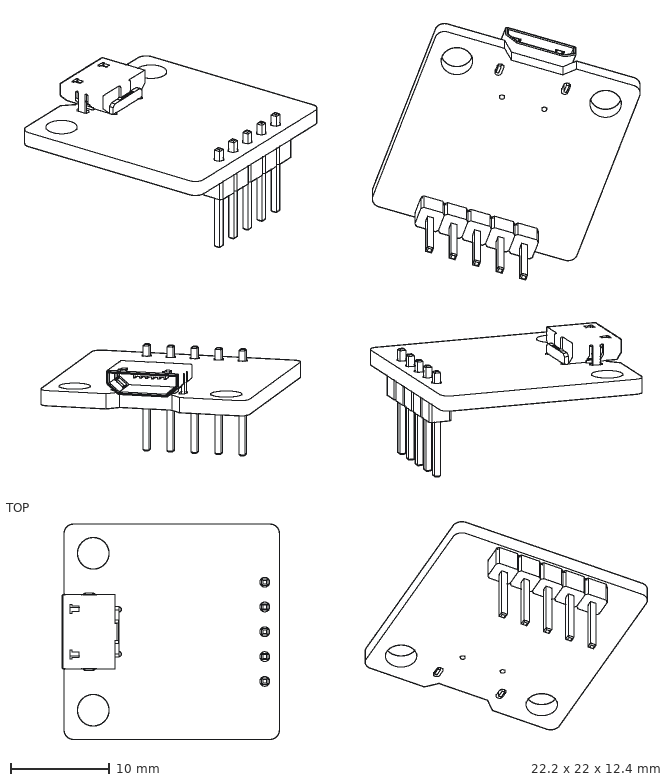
import cadquery as cq

BOARD_SIDE = 22.0
BOARD_THICKNESS = 1.6
BOARD_CORNER_RADIUS = 1.0
BOARD_EDGE = -BOARD_SIDE / 2
MOUNT_HOLE_DIAMETER = 3.2
MOUNT_HOLE_INSET = 3.0
MOUNT_HOLE_SPACING = 16.0
NOTCH_WIDTH = 7.75
NOTCH_DEPTH = 1.1

PIN_COUNT = 5
PIN_PITCH = 2.53
PIN_X = BOARD_SIDE / 2 - 1.5
PIN_HOLE_DIAMETER = 1.0
PIN_WIDTH = 0.65
PIN_TOP = 1.18
PIN_BOTTOM = -9.9
PIN_TIP_CHAMFER = 0.13
HOUSING_DEPTH = 2.4
HOUSING_HEIGHT = 2.26
HOUSING_CHAMFER = 0.25
STANDOFF_HEIGHT = 0.15
STANDOFF_GAP = 2.0

MOUTH_X = BOARD_EDGE - 0.2
SHELL_LENGTH = 5.4
SHELL_REAR_X = MOUTH_X + SHELL_LENGTH
SHELL_HEIGHT = 2.46
SHELL_HALF_WIDTH = 3.8
SHELL_FLOOR_HALF_WIDTH = 2.58
SHELL_SIDE_BOTTOM = 1.05
SHEET = 0.29
SHELL_TOP_RADIUS = 0.145
SHELL_BEND_RADIUS = 0.29
MOUTH_CHAMFER = 0.1

LEG_X = BOARD_EDGE + 2.58
LEG_WIDTH = 0.82
LEG_SLIT_WIDTH = 0.35
WINDOW_LENGTH = LEG_WIDTH + 2 * LEG_SLIT_WIDTH
WINDOW_TOP = 2.1
FLOOR_TAB_HALF_WIDTH = 2.89
LEG_SLOT_WIDTH = 0.7
LEG_SLOT_LENGTH = 1.38
LEG_SLOT_Y = 3.57

TEE_X = MOUTH_X + 0.85
TEE_Y = 2.33
TEE_HEAD_LENGTH = 0.2
TEE_HEAD_WIDTH = 0.9
TEE_LENGTH = 0.9
TEE_STEM_WIDTH = 0.55

FLAP_THICKNESS = 0.2
FLAP_WIDTH = 1.73
FLAP_BEND_RADIUS = 0.15

INSULATOR_WALL_X = MOUTH_X + 4.0
TAIL_LENGTH = 0.45
TAIL_HALF_WIDTH = 2.6
TAIL_HEIGHT = 1.09
TAIL_CHAMFER_HEIGHT = 0.29
TAIL_CHAMFER_WIDTH = 0.35
TAIL_PAD_LENGTH = 0.38
TAIL_PAD_HEIGHT = 0.1
TAIL_PAD_TOP_WIDTH = 1.78
TAIL_PAD_BASE_WIDTH = 2.4
TONGUE_FRONT_X = MOUTH_X + 2.78
TONGUE_WIDTH = 3.4
TONGUE_BOTTOM = 1.27
TONGUE_TOP = 1.95
CONTACT_COUNT = 5
CONTACT_PITCH = 0.65
CONTACT_GROOVE_WIDTH = 0.47
CONTACT_GROOVE_DEPTH = 0.18

PEG_HOLE_DIAMETER = 0.5
PEG_HOLE_X = BOARD_EDGE + 5.6
PEG_HOLE_SPACING = 4.55


def block(x_min, x_max, y_min, y_max, z_min, z_max):
    """Box given by its limits along each axis."""
    size = (x_max - x_min, y_max - y_min, z_max - z_min)
    return cq.Workplane("XY").box(*size, centered=False).translate((x_min, y_min, z_min))


def centred_block(x_min, x_max, width, z_min, z_max):
    """Box that is symmetric about Y = 0."""
    return block(x_min, x_max, -width / 2, width / 2, z_min, z_max)


def row_positions(count, pitch):
    """Evenly spaced positions centred on zero."""
    return [(i - (count - 1) / 2) * pitch for i in range(count)]


def through_board(sketch):
    """Prism of a sketch drawn on the board top, reaching the board underside."""
    return sketch.extrude(-BOARD_THICKNESS)


def make_board():
    board = through_board(cq.Workplane("XY").rect(BOARD_SIDE, BOARD_SIDE))
    board = board.edges("|Z").fillet(BOARD_CORNER_RADIUS)

    outer = NOTCH_WIDTH / 2
    inner = outer - NOTCH_DEPTH
    notch = cq.Workplane("XY").polyline([
        (BOARD_EDGE, -outer),
        (BOARD_EDGE + NOTCH_DEPTH, -inner),
        (BOARD_EDGE + NOTCH_DEPTH, inner),
        (BOARD_EDGE, outer),
    ]).close()
    board = board.cut(through_board(notch))

    mount_x = BOARD_EDGE + MOUNT_HOLE_INSET
    mounts = [(mount_x, y) for y in row_positions(2, MOUNT_HOLE_SPACING)]
    pegs = [(PEG_HOLE_X, y) for y in row_positions(2, PEG_HOLE_SPACING)]
    pins = [(PIN_X, y) for y in row_positions(PIN_COUNT, PIN_PITCH)]
    legs = [(LEG_X, y) for y in row_positions(2, 2 * LEG_SLOT_Y)]
    holes = [(mounts, MOUNT_HOLE_DIAMETER), (pegs, PEG_HOLE_DIAMETER), (pins, PIN_HOLE_DIAMETER)]
    for centres, diameter in holes:
        board = board.cut(through_board(cq.Workplane("XY").pushPoints(centres).circle(diameter / 2)))
    slots = cq.Workplane("XY").pushPoints(legs).slot2D(LEG_SLOT_LENGTH, LEG_SLOT_WIDTH)
    return board.cut(through_board(slots))


def make_header_unit(y):
    """One housing cell with its square pin."""
    top = -BOARD_THICKNESS
    housing = (
        cq.Workplane("XY", origin=(PIN_X, y, top))
        .rect(HOUSING_DEPTH, PIN_PITCH)
        .extrude(-HOUSING_HEIGHT)
        .edges("|Z")
        .chamfer(HOUSING_CHAMFER)
    )
    channel = cq.Workplane("XY", origin=(PIN_X, y, top)).rect(STANDOFF_GAP, PIN_PITCH)
    housing = housing.cut(channel.extrude(-STANDOFF_HEIGHT))
    pin = (
        cq.Workplane("XY", origin=(PIN_X, y, PIN_BOTTOM))
        .rect(PIN_WIDTH, PIN_WIDTH)
        .extrude(PIN_TOP - PIN_BOTTOM)
        .faces("<Z or >Z")
        .chamfer(PIN_TIP_CHAMFER)
    )
    return housing.union(pin)


def shell_prism(x_min, x_max, inset):
    """Prism along X of the six-sided shell section, moved inwards by the inset."""
    section = cq.Workplane("YZ", origin=(x_min, 0, 0)).polyline([
        (-SHELL_HALF_WIDTH, SHELL_HEIGHT),
        (-SHELL_HALF_WIDTH, SHELL_SIDE_BOTTOM),
        (-SHELL_FLOOR_HALF_WIDTH, 0),
        (SHELL_FLOOR_HALF_WIDTH, 0),
        (SHELL_HALF_WIDTH, SHELL_SIDE_BOTTOM),
        (SHELL_HALF_WIDTH, SHELL_HEIGHT),
    ]).close()
    if inset:
        section = section.offset2D(-inset)
    return section.extrude(x_max - x_min)


def make_shell():
    shell = shell_prism(MOUTH_X, SHELL_REAR_X, 0)
    shell = shell.edges("|X and (not >Z)").fillet(SHELL_BEND_RADIUS)
    shell = shell.edges("|X and >Z").fillet(SHELL_TOP_RADIUS)
    shell = shell.cut(shell_prism(MOUTH_X, SHELL_REAR_X, SHEET))
    shell = shell.faces("<X").chamfer(MOUTH_CHAMFER)
    for side in (-1, 1):
        shell = add_leg(shell, side)
        shell = shell.cut(make_tee(side * TEE_Y))
    return shell


def add_leg(shell, side):
    """Open a window in one shell side and add the leg that is bent out of it."""
    x_min = LEG_X - WINDOW_LENGTH / 2
    x_max = LEG_X + WINDOW_LENGTH / 2
    window = block(x_min, x_max, SHELL_FLOOR_HALF_WIDTH, SHELL_HALF_WIDTH, 0, SHELL_SIDE_BOTTOM)
    for slit_x in (x_min + LEG_SLIT_WIDTH / 2, x_max - LEG_SLIT_WIDTH / 2):
        slit = (
            cq.Workplane("XZ", origin=(slit_x, SHELL_FLOOR_HALF_WIDTH, WINDOW_TOP / 2))
            .slot2D(WINDOW_TOP, LEG_SLIT_WIDTH, 90)
            .extrude(SHELL_FLOOR_HALF_WIDTH - SHELL_HALF_WIDTH)
        )
        window = window.union(slit)
    floor_tab = block(x_min, x_max, SHELL_FLOOR_HALF_WIDTH - SHEET, FLOOR_TAB_HALF_WIDTH, 0, SHEET)
    leg = block(
        LEG_X - LEG_WIDTH / 2, LEG_X + LEG_WIDTH / 2,
        SHELL_HALF_WIDTH - SHEET, SHELL_HALF_WIDTH,
        -BOARD_THICKNESS, WINDOW_TOP,
    )
    pieces = [window, floor_tab, leg]
    if side < 0:
        pieces = [piece.mirror("XZ") for piece in pieces]
    window, floor_tab, leg = pieces
    return shell.cut(window).union(floor_tab).union(leg)


def make_tee(y):
    """Cutter for one T-shaped roof opening, with its head towards the mouth."""
    z_min = SHELL_HEIGHT - SHEET
    head = centred_block(TEE_X, TEE_X + TEE_HEAD_LENGTH, TEE_HEAD_WIDTH, z_min, SHELL_HEIGHT)
    stem = centred_block(TEE_X, TEE_X + TEE_LENGTH, TEE_STEM_WIDTH, z_min, SHELL_HEIGHT)
    return head.union(stem).translate((0, y, 0))


def make_flap():
    flap_bottom = TAIL_HEIGHT + TAIL_PAD_HEIGHT
    flap = centred_block(
        SHELL_REAR_X, SHELL_REAR_X + FLAP_THICKNESS, FLAP_WIDTH, flap_bottom, SHELL_HEIGHT
    )
    return flap.edges(">X and >Z").fillet(FLAP_BEND_RADIUS)


def make_tail():
    """Rear end of the insulator, with a sloped pad on top that meets the flap."""
    shoulder_z = TAIL_HEIGHT - TAIL_CHAMFER_HEIGHT
    roof_half_width = TAIL_HALF_WIDTH - TAIL_CHAMFER_WIDTH
    tail = cq.Workplane("YZ", origin=(SHELL_REAR_X, 0, 0)).polyline([
        (-TAIL_HALF_WIDTH, 0),
        (TAIL_HALF_WIDTH, 0),
        (TAIL_HALF_WIDTH, shoulder_z),
        (roof_half_width, TAIL_HEIGHT),
        (-roof_half_width, TAIL_HEIGHT),
        (-TAIL_HALF_WIDTH, shoulder_z),
    ]).close().extrude(TAIL_LENGTH)
    pad_top = TAIL_HEIGHT + TAIL_PAD_HEIGHT
    pad = cq.Workplane("YZ", origin=(SHELL_REAR_X, 0, 0)).polyline([
        (-TAIL_PAD_BASE_WIDTH / 2, TAIL_HEIGHT),
        (TAIL_PAD_BASE_WIDTH / 2, TAIL_HEIGHT),
        (TAIL_PAD_TOP_WIDTH / 2, pad_top),
        (-TAIL_PAD_TOP_WIDTH / 2, pad_top),
    ]).close().extrude(TAIL_PAD_LENGTH)
    return tail.union(pad)


def make_tongue():
    tongue = centred_block(TONGUE_FRONT_X, INSULATOR_WALL_X, TONGUE_WIDTH, TONGUE_BOTTOM, TONGUE_TOP)
    groove = centred_block(
        TONGUE_FRONT_X, INSULATOR_WALL_X, CONTACT_GROOVE_WIDTH,
        TONGUE_BOTTOM, TONGUE_BOTTOM + CONTACT_GROOVE_DEPTH,
    )
    for y in row_positions(CONTACT_COUNT, CONTACT_PITCH):
        tongue = tongue.cut(groove.translate((0, y, 0)))
    return tongue


def make_connector():
    core = shell_prism(INSULATOR_WALL_X, SHELL_REAR_X, SHEET)
    connector = make_shell().union(core)
    for piece in (make_tail(), make_tongue(), make_flap()):
        connector = connector.union(piece)
    return connector


board = make_board()
connector = make_connector()
header_units = [make_header_unit(y) for y in row_positions(PIN_COUNT, PIN_PITCH)]

result = cq.Compound.makeCompound([
    board.val(),
    connector.val(),
    *[unit.val() for unit in header_units],
])